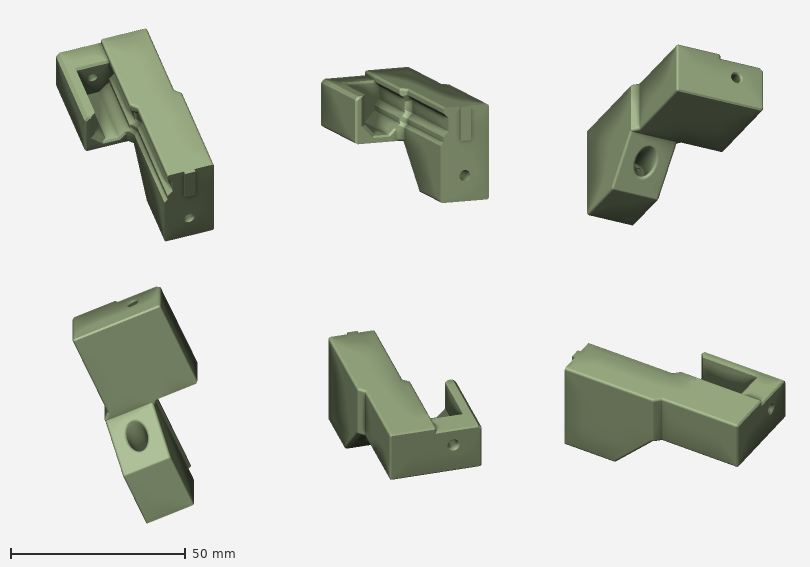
import cadquery as cq
import math

total_length = 57.45
total_height = 28.0
total_width = 29.35
key_length = 1.0
body_length = total_length - key_length

body_width = 14.0
jog = 1.8
jog_start = 27.0
jog_end = jog_start + jog
upper_height = 15.4
foot_width = 15.0
foot_slope_start = 27.35

arm_drop = 1.45
arm_bevel = 1.05
edge_radius = 0.75
left_end_chamfer = 0.45
arm_end_chamfer = 0.5

lip_height = 1.7
groove_depth = 1.55
groove_floor_bottom = 7.1
ledge_height = 10.2

channel_start = 8.05
channel_rim_chamfer = 0.65
channel_width = 10.0
channel_floor_width = 3.6
channel_flare_length = 1.5

key_width = 3.15
key_height = 9.95

arm_hole_diameter = 2.9
arm_hole_z = -6.65
arm_hole_chamfer = 0.4

bolt_diameter = 3.3
bolt_head_diameter = 6.0
bolt_z = -20.45
bolt_seat_x = 40.2
bridge_width = 3.45
bridge_step = 0.3

corner_turn = math.radians(45)
overshoot = 2.9

body_front = -body_width
arm_wall = body_front - jog
channel_front = arm_wall - channel_width
channel_middle = arm_wall - channel_width / 2
bolt_y = -foot_width / 2
channel_slope = (channel_width - channel_floor_width) / 2
foot_slope_end = foot_slope_start + total_height - upper_height
arm_x = jog_start / 2
jog_middle_x = (jog_start + jog_end) / 2
foot_x = (foot_slope_end + body_length) / 2


def box(x0, x1, y0, y1, z0, z1):
    """Axis-aligned block between two opposite corners."""
    return cq.Workplane("XY").box(x1 - x0, y1 - y0, z1 - z0, centered=False).translate((x0, y0, z0))


def x_cylinder(diameter, x0, x1, y, z):
    """Round bar along X."""
    return cq.Workplane("YZ", origin=(x0, y, z)).circle(diameter / 2).extrude(x1 - x0)


def body_side(shift):
    """Side outline of the body, with every face moved outward by the same distance."""
    rise = shift * math.tan(corner_turn / 2)
    lip = body_front - shift
    inner = lip + groove_depth
    foot = -foot_width - shift
    ledge_drop = foot_width - body_width
    return [
        (lip, overshoot),
        (lip, -lip_height - rise),
        (inner, -lip_height - groove_depth - rise),
        (inner, -groove_floor_bottom + rise),
        (lip, -groove_floor_bottom - groove_depth + rise),
        (lip, -ledge_height + rise),
        (foot, -ledge_height - ledge_drop + rise),
        (foot, -total_height - overshoot),
    ]


def make_blank():
    """Body, arm and foot as plain prisms, with the step down to the arm."""
    foot_reach = -foot_width - jog
    body = (
        cq.Workplane("XY")
        .polyline([
            (0, -jog), (jog_start - jog, -jog), (jog_start, 0), (body_length, 0),
            (body_length, foot_reach), (jog_start, foot_reach),
            (jog_start, -total_width), (0, -total_width),
        ])
        .close()
        .extrude(-total_height)
    )
    under_cut = (
        cq.Workplane("XZ", origin=(0, overshoot, 0))
        .polyline([
            (-overshoot, -upper_height), (foot_slope_start, -upper_height),
            (foot_slope_end, -total_height), (foot_slope_end, -total_height - overshoot),
            (-overshoot, -total_height - overshoot),
        ])
        .close()
        .extrude(total_width + 2 * overshoot)
    )
    arm_step = box(-overshoot, jog_start, -total_width - overshoot, arm_wall, -arm_drop, overshoot)
    foot_trim = box(
        -overshoot, total_length, -total_width, -foot_width, -total_height - overshoot, -upper_height
    )
    return body.cut(under_cut).cut(arm_step).cut(foot_trim)


def make_side_cutter():
    """Space in front of the body right of the jog, narrowing at 45 degrees through the jog."""
    outer = [(-2 * total_width, -total_height - overshoot), (-2 * total_width, overshoot)]
    straight = (
        cq.Workplane("YZ", origin=(jog_end, 0, 0))
        .polyline(body_side(0) + outer)
        .close()
        .extrude(total_length)
    )
    tapered = (
        cq.Workplane("YZ", origin=(jog_start, 0, 0))
        .polyline(body_side(jog) + outer)
        .close()
        .workplane(offset=jog)
        .polyline(body_side(0) + outer)
        .close()
        .loft(ruled=True)
    )
    return straight.union(tapered)


def channel_section(flare):
    """Channel outline; the flare moves the arm side of the channel toward the arm."""
    floor_z = -ledge_height - channel_slope
    above_foot = body_side(0)[:-2]
    body_part = [(y - jog, z) for y, z in above_foot]
    return body_part + [
        (arm_wall - channel_slope, floor_z),
        (channel_front + channel_slope - flare, floor_z),
        (channel_front - flare, -ledge_height),
        (channel_front - flare, overshoot),
    ]


def make_channel_cutter():
    """Channel open at the top and at the arm end, with a chamfered rim at its closed end."""
    straight = (
        cq.Workplane("YZ", origin=(channel_start, 0, 0))
        .polyline(channel_section(0))
        .close()
        .extrude(jog_end - channel_start)
    )
    flared = (
        cq.Workplane("YZ", origin=(jog_start - channel_flare_length, 0, 0))
        .polyline(channel_section(0))
        .close()
        .workplane(offset=channel_flare_length)
        .polyline(channel_section(jog))
        .close()
        .loft(ruled=True)
    )
    rim = (
        cq.Workplane("XZ", origin=(0, arm_wall, 0))
        .polyline([
            (channel_start - channel_rim_chamfer, -arm_drop),
            (channel_start, -arm_drop - channel_rim_chamfer),
            (channel_start, -arm_drop),
        ])
        .close()
        .extrude(channel_width)
    )
    return straight.union(flared).union(rim)


def make_bolt_cutter():
    """Bolt hole with a head seat; two shallow steps lead from the seat to the round hole."""
    seat = x_cylinder(bolt_head_diameter, bolt_seat_x - total_length, bolt_seat_x, bolt_y, bolt_z)
    hole = x_cylinder(bolt_diameter, bolt_seat_x, total_length, bolt_y, bolt_z)
    half = bridge_width / 2
    slot_end = bolt_seat_x + bridge_step
    slot = x_cylinder(bolt_head_diameter, bolt_seat_x, slot_end, bolt_y, bolt_z).intersect(
        box(bolt_seat_x, slot_end, bolt_y - half, bolt_y + half, -total_height, 0)
    )
    square = box(
        slot_end, slot_end + bridge_step, bolt_y - half, bolt_y + half, bolt_z - half, bolt_z + half
    )
    return seat.union(slot).union(square).union(hole)


def edges_at(shape, *points):
    """Edges of the shape nearest to the given points."""
    picked = []
    for point in points:
        target = cq.Vertex.makeVertex(*point)
        picked.append(min(shape.edges().vals(), key=lambda edge: edge.distance(target)))
    return shape.newObject(picked)


def round_top_edges(part):
    """Round the long top edges of the body on both sides, through both jogs."""
    return edges_at(
        part,
        (arm_x, -jog, 0), (jog_start - jog / 2, -jog / 2, 0), (foot_x, 0, 0),
        (arm_x, arm_wall, 0), (jog_middle_x, arm_wall + jog / 2, 0), (foot_x, body_front, 0),
    ).fillet(edge_radius)


def round_underside(part):
    """Round the rear bottom edges and the outline of the foot."""
    slope_x = (foot_slope_start + foot_slope_end) / 2
    slope_z = -(upper_height + total_height) / 2
    return edges_at(
        part,
        (arm_x, -jog, -upper_height), (jog_start - jog / 2, -jog / 2, -upper_height),
        ((jog_start + foot_slope_start) / 2, 0, -upper_height),
        (slope_x, 0, slope_z), (foot_x, 0, -total_height),
        (slope_x, -foot_width, slope_z), (foot_x, -foot_width, -total_height),
        (foot_slope_end, bolt_y, -total_height),
    ).fillet(edge_radius)


def finish_arm(part):
    """Bevel the arm, chamfer its free end and round its bottom edges."""
    part = edges_at(part, (arm_x, -total_width, -arm_drop)).chamfer(arm_bevel)
    part = edges_at(
        part,
        (jog_start, -total_width, -upper_height / 2),
        (jog_start, -total_width + arm_bevel / 2, -arm_drop - arm_bevel / 2),
        (jog_start, channel_front, -arm_drop),
    ).chamfer(arm_end_chamfer)
    part = edges_at(part, (jog_middle_x, -foot_width - jog / 2, -upper_height)).fillet(edge_radius)
    return edges_at(part, (arm_x, -total_width, -upper_height)).fillet(edge_radius)


def cut_channel(part):
    """Cut the channel and chamfer its slope and floor where they leave the arm end."""
    part = part.cut(make_channel_cutter())
    slope_middle = arm_wall - channel_slope / 2
    slope_edge = (jog_start, slope_middle, -ledge_height - channel_slope / 2)
    part = edges_at(part, slope_edge).chamfer(arm_end_chamfer)
    floor_edge = (jog_start, channel_middle, -ledge_height - channel_slope)
    return edges_at(part, floor_edge).chamfer(arm_end_chamfer)


def cut_bolt_hole(part):
    """Cut the bolt hole and round its mouth on the sloping underside of the foot."""
    part = part.cut(make_bolt_cutter())
    mouth_top_z = bolt_z + bolt_head_diameter / 2
    mouth_top_x = foot_slope_start - upper_height - mouth_top_z
    return edges_at(part, (mouth_top_x, bolt_y, mouth_top_z)).fillet(edge_radius)


def cut_arm_hole(part):
    """Drill from the left end into the channel and chamfer the mouth."""
    hole_end = channel_start + overshoot
    hole = x_cylinder(arm_hole_diameter, -overshoot, hole_end, channel_middle, arm_hole_z)
    mouth_top = (0, channel_middle, arm_hole_z + arm_hole_diameter / 2)
    return edges_at(part.cut(hole), mouth_top).chamfer(arm_hole_chamfer)


body = make_blank().cut(make_side_cutter())
body = round_top_edges(body)
body = round_underside(body)
body = finish_arm(body)
body = body.faces("<X").edges().chamfer(left_end_chamfer)
body = cut_channel(body)
body = cut_bolt_hole(body)
body = cut_arm_hole(body)
key = box(body_length, total_length, bolt_y - key_width / 2, bolt_y + key_width / 2, -key_height, 0)
result = body.union(key)